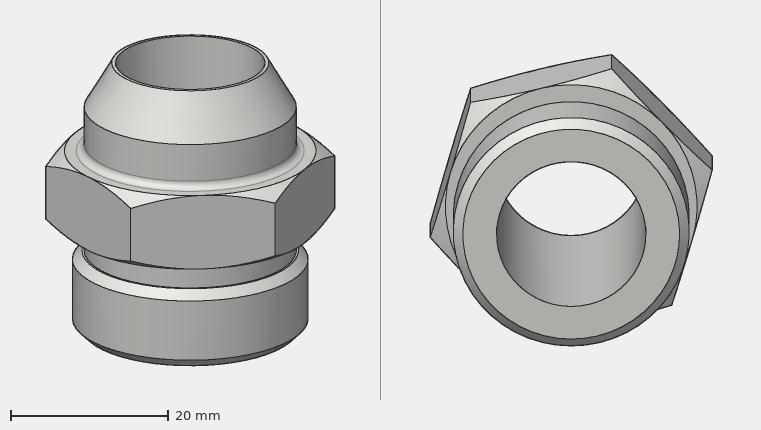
import cadquery as cq
import math

total_height = 36.0
bore_radius = 19.0 / 2
neck_radius = 27.0 / 2
thread_radius = 30.0 / 2
nose_tip_radius = 20.0 / 2
hex_corner_radius = 18.48
hex_bottom = 14.0
hex_height = 10.0
thread_top = 10.5
thread_chamfer = 1.22
nose_height = 6.0
fillet_radius = 1.0
hex_chamfer_angle = 30.0

hex_top = hex_bottom + hex_height
hex_flat_radius = hex_corner_radius * math.cos(math.pi / 6)
thread_end_radius = thread_radius - thread_chamfer
nose_base = total_height - nose_height
hex_chamfer_height = (hex_corner_radius - hex_flat_radius) * math.tan(math.radians(hex_chamfer_angle))


def make_turned_body():
    """Threaded end, undercut, upper neck with root fillet, and conical nose."""
    fillet_mid_offset = fillet_radius * (1 - math.sqrt(0.5))
    return (
        cq.Workplane("XZ")
        .lineTo(thread_end_radius, 0)
        .lineTo(thread_radius, thread_chamfer)
        .lineTo(thread_radius, thread_top - thread_chamfer)
        .lineTo(thread_end_radius, thread_top)
        .lineTo(neck_radius, thread_top)
        .lineTo(neck_radius, hex_bottom)
        .lineTo(neck_radius + fillet_radius, hex_bottom)
        .lineTo(neck_radius + fillet_radius, hex_top)
        .threePointArc(
            (neck_radius + fillet_mid_offset, hex_top + fillet_mid_offset),
            (neck_radius, hex_top + fillet_radius),
        )
        .lineTo(neck_radius, nose_base)
        .lineTo(nose_tip_radius, total_height)
        .lineTo(0, total_height)
        .close()
        .revolve(360, (0, 0, 0), (0, 1, 0))
    )


def make_hexagon():
    """Hexagon with corners on the Y axis, bevelled conically at both ends."""
    prism = (
        cq.Workplane("XY", origin=(0, 0, hex_bottom))
        .polygon(6, 2 * hex_corner_radius)
        .extrude(hex_height)
        .rotate((0, 0, 0), (0, 0, 1), 90)
    )
    bevel_envelope = (
        cq.Workplane("XZ")
        .moveTo(0, hex_bottom)
        .lineTo(hex_flat_radius, hex_bottom)
        .lineTo(hex_corner_radius, hex_bottom + hex_chamfer_height)
        .lineTo(hex_corner_radius, hex_top - hex_chamfer_height)
        .lineTo(hex_flat_radius, hex_top)
        .lineTo(0, hex_top)
        .close()
        .revolve(360, (0, 0, 0), (0, 1, 0))
    )
    return prism.intersect(bevel_envelope)


bore = cq.Workplane("XY").circle(bore_radius).extrude(total_height)
result = make_turned_body().union(make_hexagon()).cut(bore)